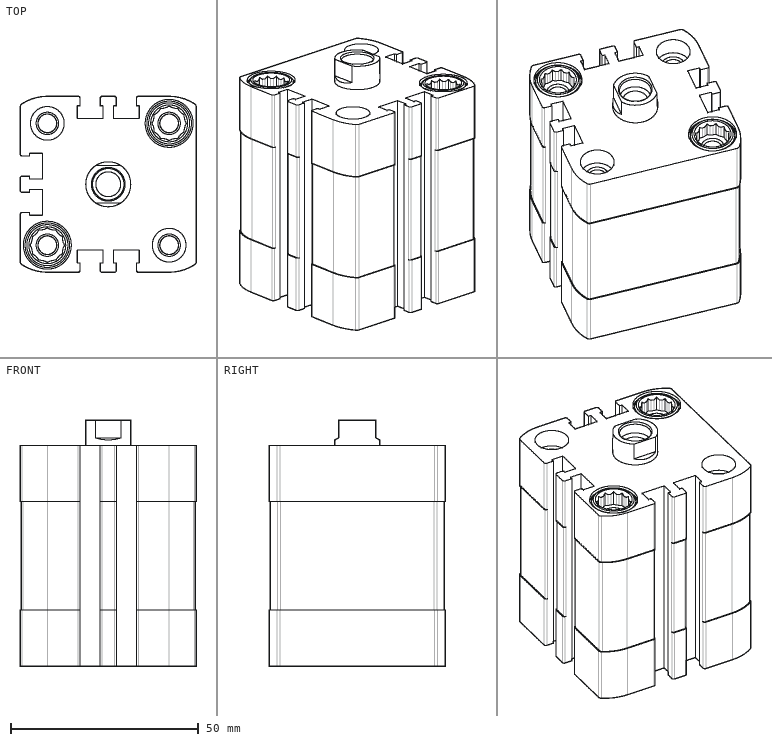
import cadquery as cq
import math

width = 47.0
half_width = width / 2
total_height = 65.6
rod_protrusion = 6.7
housing_height = total_height - rod_protrusion
cap_height = 15.0
barrel_inset = 0.25

hole_pitch = 32.5
half_pitch = hole_pitch / 2
corner_radius = 12.3
corner_edge_radius = 1.0

slot_spacing = 9.65
slot_mouth_width = 5.3
slot_inner_width = 6.8
slot_lip_depth = 2.55
slot_depth = 5.9
slot_lip_radius = 0.5

bolt_hole_diameter = 4.9
bolt_seat_diameter = 6.0
bolt_seat_depth = (bolt_seat_diameter - bolt_hole_diameter) / 2
counterbore_diameter = 9.0
counterbore_depth = 5.0

groove_outer_diameter = 12.8
groove_inner_diameter = 11.9
groove_depth = 1.0
rim_chamfer = 0.45
socket_mouth_diameter = 9.85
socket_root_diameter = 9.2
socket_tip_diameter = 8.6
socket_depth = 4.7
socket_mouth_depth = 1.25
tooth_count = 12
tooth_tip_width = 0.8

rod_diameter = 12.0
rod_length = rod_protrusion + cap_height
rod_bottom = total_height - rod_length
flat_distance = 10.0
flat_height = 4.7
flat_runout_drop = 0.5

rod_mouth_diameter = 9.0
rod_mouth_depth = 0.5
rod_recess_diameter = 8.4
rod_recess_depth = 3.35
rod_bore_diameter = 6.6
rod_bore_start = 4.1
rod_bore_depth = 13.1
drill_point_angle = 118.0


def rounded_block(half_size, arc_radius, bottom, height):
    """Block whose four corners are broad arcs meeting the X sides in a small rounded edge."""
    arc_centre_y = half_size - arc_radius
    arc_end_y = arc_centre_y + math.sqrt(arc_radius**2 - (half_size - half_pitch) ** 2)
    return (
        cq.Workplane("XY", origin=(0, 0, bottom))
        .moveTo(-half_pitch, half_size)
        .lineTo(half_pitch, half_size)
        .tangentArcPoint((half_size, arc_end_y), relative=False)
        .lineTo(half_size, -arc_end_y)
        .radiusArc((half_pitch, -half_size), arc_radius)
        .lineTo(-half_pitch, -half_size)
        .tangentArcPoint((-half_size, -arc_end_y), relative=False)
        .lineTo(-half_size, arc_end_y)
        .radiusArc((-half_pitch, half_size), arc_radius)
        .close()
        .extrude(height)
        .edges("|Z")
        .edges("<X or >X")
        .fillet(corner_edge_radius)
    )


def slot_cutter(side_distance, bottom, height):
    """T-shaped slot in the +Y side at X = 0, with a mouth that flares round both lips."""
    half_mouth = slot_mouth_width / 2
    half_inner = slot_inner_width / 2
    floor_y = half_width - slot_depth
    lip_y = half_width - slot_lip_depth
    flare_y = side_distance - slot_lip_radius
    return (
        cq.Workplane("XY", origin=(0, 0, bottom))
        .moveTo(-half_inner, floor_y)
        .lineTo(half_inner, floor_y)
        .lineTo(half_inner, lip_y)
        .lineTo(half_mouth, lip_y)
        .lineTo(half_mouth, flare_y)
        .radiusArc((half_mouth + slot_lip_radius, side_distance), slot_lip_radius)
        .lineTo(-half_mouth - slot_lip_radius, side_distance)
        .radiusArc((-half_mouth, flare_y), slot_lip_radius)
        .lineTo(-half_mouth, lip_y)
        .lineTo(-half_inner, lip_y)
        .close()
        .extrude(height)
    )


def slotted_section(inset, bottom, height):
    """One length of the housing, its outside set in by inset, with all six slots cut."""
    half_size = half_width - inset
    section = rounded_block(half_size, corner_radius - inset, bottom, height)
    cutter = slot_cutter(half_size, bottom, height)
    for side_angle in (0, 90, 180):
        for offset in (-slot_spacing / 2, slot_spacing / 2):
            placed = cutter.translate((offset, 0, 0)).rotate((0, 0, 0), (0, 0, 1), side_angle)
            section = section.cut(placed)
    return section


def revolved(profile):
    """Solid of revolution about Z from (radius, z) points."""
    return cq.Workplane("XZ").polyline(profile).close().revolve(360, (0, 0), (0, 1))


def bolt_hole(recess_depth):
    """Through hole with a chamfered seat at the floor of a recess of the given depth."""
    hole_radius = bolt_hole_diameter / 2
    seat_radius = bolt_seat_diameter / 2
    seat_z = housing_height - recess_depth
    return revolved(
        [
            (0, 0),
            (hole_radius, 0),
            (hole_radius, seat_z - bolt_seat_depth),
            (seat_radius, seat_z),
            (0, seat_z),
        ]
    )


def plain_counterbore():
    """Straight recess above a bolt hole."""
    return (
        cq.Workplane("XY", origin=(0, 0, housing_height - counterbore_depth))
        .circle(counterbore_diameter / 2)
        .extrude(counterbore_depth)
    )


def toothed_socket():
    """Counterbore with inward-pointing teeth below a conical mouth."""
    tip_radius = socket_tip_diameter / 2
    root_radius = socket_root_diameter / 2
    tooth_pitch = 2 * math.pi / tooth_count
    half_tip_angle = math.asin(tooth_tip_width / 2 / tip_radius)
    outline = []
    for i in range(tooth_count):
        root_angle = i * tooth_pitch
        tip_angle = root_angle + tooth_pitch / 2
        for radius, angle in (
            (root_radius, root_angle),
            (tip_radius, tip_angle - half_tip_angle),
            (tip_radius, tip_angle + half_tip_angle),
        ):
            outline.append((radius * math.cos(angle), radius * math.sin(angle)))
    teeth = (
        cq.Workplane("XY", origin=(0, 0, housing_height - socket_depth))
        .polyline(outline)
        .close()
        .extrude(socket_depth)
    )
    mouth_floor = housing_height - socket_mouth_depth
    mouth = revolved(
        [
            (0, mouth_floor),
            (tip_radius, mouth_floor),
            (socket_mouth_diameter / 2, housing_height),
            (0, housing_height),
        ]
    )
    return teeth.union(mouth)


def ring_groove():
    """Groove round a socket, its inner edge chamfered where the socket rim stands inside it."""
    floor_z = housing_height - groove_depth
    return revolved(
        [
            (groove_inner_diameter / 2, floor_z),
            (groove_outer_diameter / 2, floor_z),
            (groove_outer_diameter / 2, housing_height),
            (groove_inner_diameter / 2 - rim_chamfer, housing_height),
            (groove_inner_diameter / 2, housing_height - rim_chamfer),
        ]
    )


def make_housing():
    """Two end caps and a slightly narrower barrel, with the corner holes and the rod hole."""
    barrel_height = housing_height - 2 * cap_height
    housing = slotted_section(0, 0, cap_height)
    housing = housing.union(slotted_section(barrel_inset, cap_height, barrel_height))
    housing = housing.union(slotted_section(0, housing_height - cap_height, cap_height))

    for side in (-1, 1):
        socket_corner = (side * half_pitch, side * half_pitch, 0)
        plain_corner = (side * half_pitch, -side * half_pitch, 0)
        for cutter in (bolt_hole(socket_depth), toothed_socket(), ring_groove()):
            housing = housing.cut(cutter.translate(socket_corner))
        for cutter in (bolt_hole(counterbore_depth), plain_counterbore()):
            housing = housing.cut(cutter.translate(plain_corner))

    rod_hole = (
        cq.Workplane("XY", origin=(0, 0, rod_bottom))
        .circle(rod_diameter / 2)
        .extrude(rod_length)
    )
    return housing.cut(rod_hole)


def make_rod():
    """Round rod seated in the top cap, with two wrench flats and a stepped hole in its end."""
    rod_radius = rod_diameter / 2
    rod = cq.Workplane("XY", origin=(0, 0, rod_bottom)).circle(rod_radius).extrude(rod_length)

    flat_y = flat_distance / 2
    flat_bottom = total_height - flat_height
    flat_cutter = (
        cq.Workplane("YZ")
        .moveTo(flat_y, total_height)
        .lineTo(flat_y, flat_bottom)
        .lineTo(rod_radius, flat_bottom - flat_runout_drop)
        .lineTo(rod_radius, total_height)
        .close()
        .extrude(rod_radius, both=True)
    )
    rod = rod.cut(flat_cutter).cut(flat_cutter.mirror("XZ"))

    bore_radius = rod_bore_diameter / 2
    point_depth = bore_radius / math.tan(math.radians(drill_point_angle / 2))
    bore = revolved(
        [
            (0, total_height),
            (rod_mouth_diameter / 2, total_height),
            (rod_recess_diameter / 2, total_height - rod_mouth_depth),
            (rod_recess_diameter / 2, total_height - rod_recess_depth),
            (bore_radius, total_height - rod_bore_start),
            (bore_radius, total_height - rod_bore_depth),
            (0, total_height - rod_bore_depth - point_depth),
        ]
    )
    return rod.cut(bore)


housing = make_housing()
rod = make_rod()
result = cq.Compound.makeCompound([housing.val(), rod.val()])